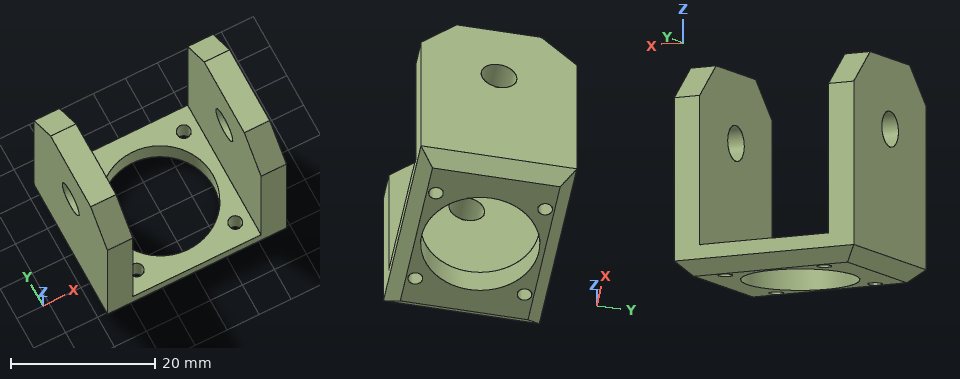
import cadquery as cq

width = 28.0
depth = 22.0
height = 30.0

thickness = 4.0
base_chamfer = thickness / 2
ear_chamfer = 5.0

pivot_diameter = 5.0
pivot_height = 20.0

bore_diameter = 16.5
screw_diameter = 2.0
screw_spacing = 15.4


def bracket_body():
    """U-shaped channel with a chamfered underside and clipped ear corners."""
    block = cq.Workplane("XY").box(width, depth, height, centered=(True, True, False))
    block = block.faces("<Z").edges().chamfer(base_chamfer)
    block = block.faces(">Z").edges("|X").chamfer(ear_chamfer)
    channel = (
        cq.Workplane("XY")
        .workplane(offset=thickness)
        .rect(width - 2 * thickness, depth)
        .extrude(height - thickness)
    )
    return block.cut(channel)


def pivot_holes():
    """One cylinder along X that passes through both walls."""
    return (
        cq.Workplane("YZ")
        .center(0, pivot_height)
        .circle(pivot_diameter / 2)
        .extrude(width / 2, both=True)
    )


def floor_openings():
    """Central bore and a square pattern of four screw holes."""
    bore = cq.Workplane("XY").circle(bore_diameter / 2).extrude(thickness)
    screws = (
        cq.Workplane("XY")
        .rect(screw_spacing, screw_spacing, forConstruction=True)
        .vertices()
        .circle(screw_diameter / 2)
        .extrude(thickness)
    )
    return bore.union(screws)


result = bracket_body().cut(pivot_holes()).cut(floor_openings())